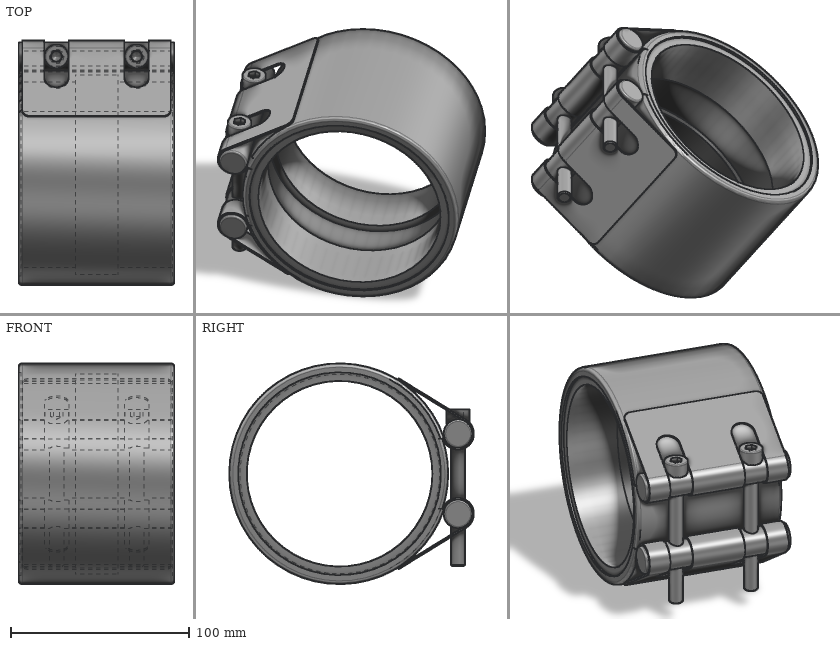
import cadquery as cq
import math


sheet = 1.0

width = 87.4
casing_radius = 62.0
edge_radius = 2.0
bore_radius = 52.0
recess_radius = 56.0
recess_width = 24.0
flange_radius = 56.9
lining_setback = 1.3

gap_half_height = 19.7
strip_radius = casing_radius - sheet

pin_radius = 8.0
pin_edge_radius = 1.0
pin_y = 66.39
pin_z = 22.5
loop_radius = pin_radius + sheet
plate_width = width - 2 * edge_radius
plate_corner_radius = 4.0
plate_bite = 0.1

slot_width = 13.7
slot_centre_y = 54.9

bolt_spacing = 45.0
bolt_positions = (-bolt_spacing / 2, bolt_spacing / 2)
bolt_diameter = 8.0
bolt_length = 80.0
bolt_chamfer = 0.8
head_diameter = 13.27
head_height = 8.0
head_edge = 0.6
head_top_z = 36.2
hex_flats = 6.0
hex_depth = 4.0
socket_cone_depth = 1.5

pin_distance = math.hypot(pin_y, pin_z)
plate_angle = math.atan2(pin_z, pin_y) + math.acos((casing_radius - pin_radius) / pin_distance)
plate_length = pin_y * math.sin(plate_angle) - pin_z * math.cos(plate_angle)


def disc(radius, length):
    """Cylinder along X, centred on the origin."""
    return cq.Workplane("YZ").circle(radius).extrude(length).translate((-length / 2, 0, 0))


def rounded_disc(radius, length, edge):
    """Cylinder along X with both end edges rounded."""
    return disc(radius, length).faces("<X or >X").edges().fillet(edge)


def make_sleeve():
    """Casing with its rounded rims, stepped down to the strip in the gap."""
    depth = 2 * casing_radius
    gap = cq.Workplane("XY").box(2 * width, depth, 2 * gap_half_height).translate((0, depth / 2, 0))
    casing = rounded_disc(casing_radius, width, edge_radius).cut(gap)
    strip = rounded_disc(strip_radius, width, edge_radius)
    return casing.union(strip.intersect(gap))


def cut_bore(body):
    """Through bore, a recess at mid-width, and the lining set back behind the casing flanges."""
    body = body.cut(disc(bore_radius, 2 * width)).cut(disc(recess_radius, recess_width))
    for side in (-1, 1):
        flange_opening = disc(flange_radius, 2 * lining_setback).translate((side * width / 2, 0, 0))
        body = body.cut(flange_opening)
    return body


def loop_point(angle):
    """Point on the outside of the upper loop, in the YZ plane."""
    return (pin_y + loop_radius * math.cos(angle), pin_z + loop_radius * math.sin(angle))


def make_loop():
    """Sheet bent around the upper pin, from the plate round the +Y side to the casing.

    It is modelled as a full sector, since the pin fills its inside.
    """
    end_angle = math.atan2(-pin_z, -pin_y)
    middle_angle = (plate_angle + end_angle) / 2
    return (
        cq.Workplane("YZ")
        .moveTo(pin_y, pin_z)
        .lineTo(*loop_point(plate_angle))
        .threePointArc(loop_point(middle_angle), loop_point(end_angle))
        .close()
        .extrude(plate_width)
        .translate((-plate_width / 2, 0, 0))
    )


def make_clasp():
    """Upper plate and loop, with round-ended slots that clear the bolts."""
    normal_y = math.cos(plate_angle)
    normal_z = math.sin(plate_angle)
    plate_radius = casing_radius + sheet
    plane = cq.Plane(
        origin=(0, plate_radius * normal_y, plate_radius * normal_z),
        xDir=(1, 0, 0),
        normal=(0, normal_y, normal_z),
    )
    plate = (
        cq.Workplane(plane)
        .center(0, plate_length / 2)
        .rect(plate_width, plate_length)
        .extrude(-sheet - plate_bite)
        .edges(cq.ParallelDirSelector(plane.zDir))
        .edges("<Y")
        .fillet(plate_corner_radius)
    )
    clasp = plate.union(make_loop())

    slot_start = (slot_centre_y - plate_radius * normal_y) / normal_z
    slot_length = plate_length + 2 * loop_radius - slot_start
    slot_depth = 3 * loop_radius
    for bolt_x in bolt_positions:
        slot = (
            cq.Workplane(plane)
            .center(bolt_x, slot_start + slot_length / 2)
            .slot2D(slot_length + slot_width, slot_width, 90)
            .extrude(-slot_depth)
        )
        clasp = clasp.cut(slot)
    return clasp


def make_pin():
    """Upper cross pin with rounded ends."""
    return rounded_disc(pin_radius, width, pin_edge_radius).translate((0, pin_y, pin_z))


def make_bolt(bolt_x):
    """Socket head bolt pointing down through both pins."""
    seat_z = head_top_z - head_height
    shank = (
        cq.Workplane("XY", origin=(bolt_x, pin_y, seat_z))
        .circle(bolt_diameter / 2)
        .extrude(-bolt_length)
        .faces("<Z")
        .chamfer(bolt_chamfer)
    )
    head = (
        cq.Workplane("XY", origin=(bolt_x, pin_y, seat_z))
        .circle(head_diameter / 2)
        .extrude(head_height)
        .faces(">Z")
        .edges()
        .fillet(head_edge)
    )
    return shank.union(head)


def make_socket(bolt_x):
    """Hexagonal key socket with a conical bottom, as a cutter."""
    hex_corners = hex_flats / math.cos(math.radians(30))
    hexagon = (
        cq.Workplane("XY", origin=(bolt_x, pin_y, head_top_z))
        .polygon(6, hex_corners)
        .extrude(-hex_depth)
    )
    cone = cq.Solid.makeCone(
        hex_flats / 2,
        0,
        socket_cone_depth,
        pnt=cq.Vector(bolt_x, pin_y, head_top_z - hex_depth),
        dir=cq.Vector(0, 0, -1),
    )
    return hexagon.union(cq.Workplane(cone))


body = make_sleeve()
for part in (make_clasp(), make_pin()):
    body = body.union(part).union(part.mirror("XY"))
for bolt_x in bolt_positions:
    body = body.union(make_bolt(bolt_x)).cut(make_socket(bolt_x))

result = cut_bore(body)